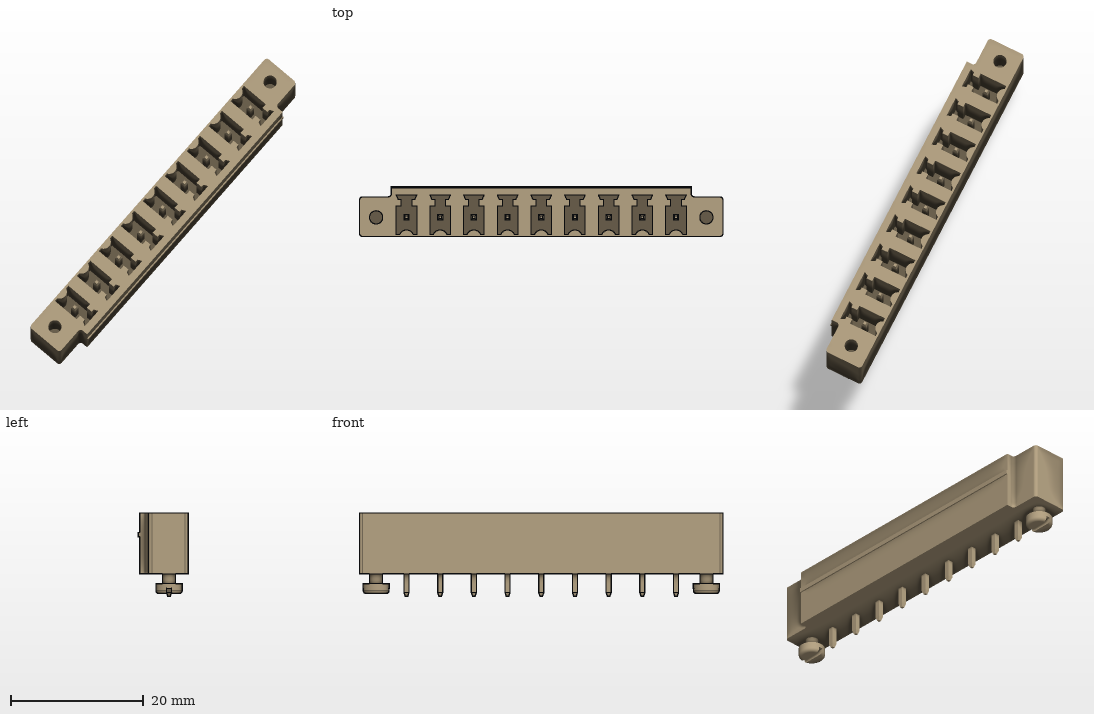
import cadquery as cq
import math


pin_count = 9
pin_pitch = 5.08
pin_width = 0.8
pin_tip_width = 0.4
pin_taper = 0.6
pin_reach_below = 3.4
pin_recess = 2.0
row_length = (pin_count - 1) * pin_pitch
pin_xs = [i * pin_pitch - row_length / 2 for i in range(pin_count)]

total_length = 54.84
total_depth = 7.55
total_height = 12.6
housing_height = total_height - pin_reach_below
flange_length = 4.8
flange_setback = 1.35
corner_radius = 0.5
front_y = -2.9
back_rib_height = 0.7
back_rib_depth = 0.2
back_rib_drop = 2.95
back_y = front_y + total_depth - back_rib_depth
flange_back_y = back_y - flange_setback
half_length = total_length / 2
block_half_length = half_length - flange_length

pocket_width = 3.1
pocket_depth = 7.0
front_wall = 0.3
shoulder_y = 1.73
neck_width = 1.6
flare_y = 2.7
flare_width = 2.5
pocket_back_y = 3.37
bump_width = 2.05
bump_rise = 0.7

screw_x = 24.9
screw_hole_diameter = 2.0
screw_hole_depth = 6.0
post_diameter = 2.0
post_length = 1.5
head_diameter = 4.0
head_height = 1.5
head_edge_radius = 0.5
slot_width = 0.75
slot_depth = 0.8


def make_box(x_range, y_range, z_range):
    """Box spanning the given (low, high) ranges."""
    lows, highs = zip(x_range, y_range, z_range)
    sizes = [high - low for low, high in zip(lows, highs)]
    return cq.Workplane("XY").box(*sizes, centered=False).translate(lows)


def make_housing():
    """Full-length bar with a raised back between the flanges and a rib across it."""
    bar = make_box((-half_length, half_length), (front_y, flange_back_y), (0, housing_height))
    block = make_box((-block_half_length, block_half_length), (front_y, back_y), (0, housing_height))
    rounded_corners = cq.selectors.BoxSelector(
        (-total_length, -total_depth, 0),
        (total_length, flange_back_y + flange_setback / 2, housing_height),
    )
    housing = bar.union(block).edges("|Z").edges(rounded_corners).fillet(corner_radius)
    rib_top = housing_height - back_rib_drop
    rib = make_box(
        (-block_half_length, block_half_length),
        (flange_back_y, back_y + back_rib_depth),
        (rib_top - back_rib_height, rib_top),
    )
    return housing.union(rib)


def make_pocket():
    """Keyed contact pocket centred on X = 0, open at the housing top."""
    wall_y = front_y + front_wall
    half_width = pocket_width / 2
    half_neck = neck_width / 2
    half_flare = flare_width / 2
    half_bump = bump_width / 2
    return (
        cq.Workplane("XY", origin=(0, 0, housing_height - pocket_depth))
        .moveTo(-half_width, wall_y)
        .lineTo(-half_bump, wall_y)
        .threePointArc((0, wall_y + bump_rise), (half_bump, wall_y))
        .lineTo(half_width, wall_y)
        .lineTo(half_width, shoulder_y)
        .lineTo(half_neck, shoulder_y)
        .lineTo(half_neck, flare_y)
        .lineTo(half_flare, flare_y)
        .lineTo(half_width, pocket_back_y)
        .lineTo(-half_width, pocket_back_y)
        .lineTo(-half_flare, flare_y)
        .lineTo(-half_neck, flare_y)
        .lineTo(-half_neck, shoulder_y)
        .lineTo(-half_width, shoulder_y)
        .close()
        .extrude(pocket_depth)
    )


def make_pin():
    """Square pin centred on X = 0, tapered at both ends."""
    bottom = pin_taper - pin_reach_below
    top = housing_height - pin_recess - pin_taper
    taper_angle = math.degrees(math.atan2((pin_width - pin_tip_width) / 2, pin_taper))
    shaft = cq.Workplane("XY", origin=(0, 0, bottom)).rect(pin_width, pin_width).extrude(top - bottom)
    return (
        shaft.faces(">Z").wires().toPending().extrude(pin_taper, taper=taper_angle)
        .faces("<Z").wires().toPending().workplane().extrude(pin_taper, taper=taper_angle)
    )


def make_screw():
    """Post and slotted round head below the housing, centred on X = 0."""
    head_bottom = -post_length - head_height
    post = cq.Workplane("XY").circle(post_diameter / 2).extrude(-post_length)
    head = (
        cq.Workplane("XY", origin=(0, 0, head_bottom))
        .circle(head_diameter / 2)
        .extrude(head_height)
        .faces("<Z").edges().fillet(head_edge_radius)
    )
    slot = make_box(
        (-head_diameter, head_diameter),
        (-slot_width / 2, slot_width / 2),
        (head_bottom, head_bottom + slot_depth),
    )
    return post.union(head.cut(slot))


def make_screw_hole():
    """Blind hole in the flange top, centred on X = 0."""
    return (
        cq.Workplane("XY", origin=(0, 0, housing_height))
        .circle(screw_hole_diameter / 2)
        .extrude(-screw_hole_depth)
    )


result = make_housing()

pocket = make_pocket()
pin = make_pin()
for x in pin_xs:
    result = result.cut(pocket.translate((x, 0, 0))).union(pin.translate((x, 0, 0)))

screw = make_screw()
screw_hole = make_screw_hole()
for x in (-screw_x, screw_x):
    result = result.cut(screw_hole.translate((x, 0, 0))).union(screw.translate((x, 0, 0)))